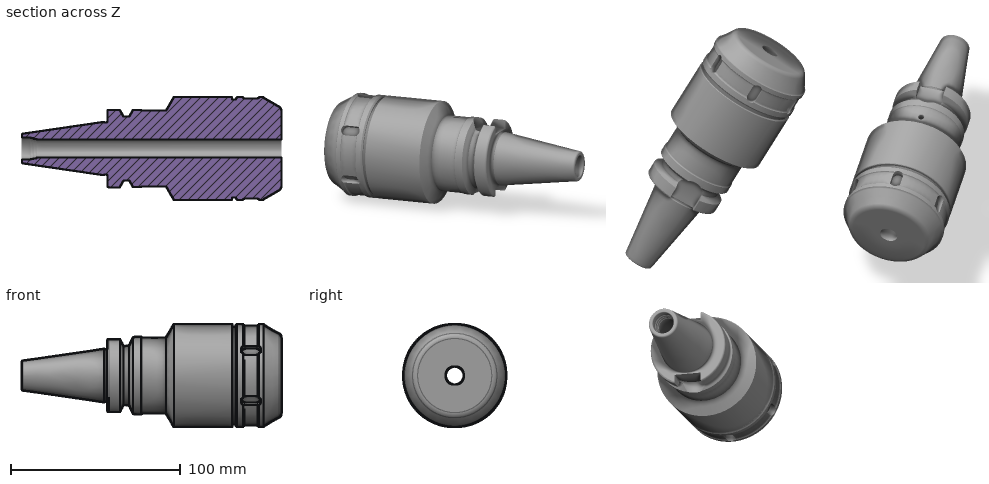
import cadquery as cq
import math


TOTAL_LENGTH = 153.4
SHANK_LENGTH = 48.4
GAUGE_RADIUS = 31.75 / 2
TAPER_SLOPE = 7 / 24 / 2
SHANK_EDGE_FILLET = 1.0
RELIEF_RADIUS = 30.8 / 2
RELIEF_FILLET = 0.8

FLANGE_X = 2.0
FLANGE_RADIUS = 46 / 2
FLANGE_EDGE_FILLET = 1.0
FLANGE_END_X = 21.9
GROOVE_MIDDLE_X = 13.35
GROOVE_FLOOR_WIDTH = 3.3
GROOVE_FLOOR_RADIUS = 19.1
GROOVE_SIDE_SLOPE = math.tan(math.radians(30))
STEP_FILLET = 1.0

KEYWAY_COUNT = 2
KEYWAY_WIDTH = 16.1
KEYWAY_FLOOR = 16.3
KEYWAY_END_X = 18.6

NECK_RADIUS = 45 / 2
BODY_RADIUS = 61 / 2
BODY_X = 41.3
SHOULDER_ANGLE = math.radians(60)
BODY_END_X = 75.9
BODY_CHAMFER = 0.3

GAP_RADIUS = 57.9 / 2
NUT_X = 77.8
NUT_CHAMFER = 0.9
NUT_GROOVE_X = 82.0
NUT_GROOVE_END_X = 91.65
NUT_GROOVE_DEPTH = 0.75
NUT_GROOVE_FILLET = 1.0
NUT_END_X = TOTAL_LENGTH - SHANK_LENGTH
NOSE_ANGLE = 30
NOSE_CONE_X = 94.95
NOSE_CONE_RADIUS = 29.7
NOSE_STEP_FILLET = 1.5
NOSE_FILLET = 3.5

SLOT_COUNT = 6
SLOT_LENGTH = 11.8
SLOT_WIDTH = 6.0
SLOT_FLOOR = 26.5

SCREW_X = 30.0
SCREW_RADIUS = 3.4 / 2
SCREW_MOUTH_RADIUS = 4 / 2

BORE_RADII = [12.9 / 2, 12 / 2, 11.2 / 2, 10.5 / 2]
MOUTH_FILLET = 0.5
MOUTH_DEPTH = 5.0
BORE_STEP_LENGTH = 1.8

CUT_MARGIN = 5.0


def taper_radius(x):
    return GAUGE_RADIUS + TAPER_SLOPE * x


def arc(profile, center, radius, start_angle, end_angle):
    """Line to the start of an arc, then the arc; angles in degrees from +X."""
    def point(angle):
        turn = math.radians(angle)
        return (center[0] + radius * math.cos(turn), center[1] + radius * math.sin(turn))

    middle_angle = (start_angle + end_angle) / 2
    return profile.lineTo(*point(start_angle)).threePointArc(point(middle_angle), point(end_angle))


def step_down(profile, x, high, low, fillet):
    """Drop at x from one radius to a lower one through a hollow fillet."""
    rise_angle = math.degrees(math.asin(1 - (high - low) / fillet))
    center = (x + fillet * math.cos(math.radians(rise_angle)), low + fillet)
    return arc(profile, center, fillet, 180 + rise_angle, 270)


def step_up(profile, x, low, high, fillet):
    """Rise at x from one radius to a higher one through a hollow fillet."""
    rise_angle = math.degrees(math.asin(1 - (high - low) / fillet))
    center = (x - fillet * math.cos(math.radians(rise_angle)), low + fillet)
    return arc(profile, center, fillet, 270, 360 - rise_angle)


def make_outside():
    profile = cq.Workplane("XY").moveTo(-SHANK_LENGTH, 0)

    taper_angle = math.atan(TAPER_SLOPE)
    shank_edge_x = -SHANK_LENGTH + SHANK_EDGE_FILLET
    shank_edge_center = (shank_edge_x, taper_radius(shank_edge_x) - SHANK_EDGE_FILLET / math.cos(taper_angle))
    profile = arc(profile, shank_edge_center, SHANK_EDGE_FILLET, 180, 90 + math.degrees(taper_angle))
    profile = step_down(profile, 0, GAUGE_RADIUS, RELIEF_RADIUS, RELIEF_FILLET)

    relief_corner = (FLANGE_X - RELIEF_FILLET, RELIEF_RADIUS + RELIEF_FILLET)
    profile = arc(profile, relief_corner, RELIEF_FILLET, 270, 360)
    flange_corner = (FLANGE_X + FLANGE_EDGE_FILLET, FLANGE_RADIUS - FLANGE_EDGE_FILLET)
    profile = arc(profile, flange_corner, FLANGE_EDGE_FILLET, 180, 90)
    half_floor = GROOVE_FLOOR_WIDTH / 2
    half_mouth = half_floor + (FLANGE_RADIUS - GROOVE_FLOOR_RADIUS) * GROOVE_SIDE_SLOPE
    profile = profile.lineTo(GROOVE_MIDDLE_X - half_mouth, FLANGE_RADIUS)
    profile = profile.lineTo(GROOVE_MIDDLE_X - half_floor, GROOVE_FLOOR_RADIUS)
    profile = profile.lineTo(GROOVE_MIDDLE_X + half_floor, GROOVE_FLOOR_RADIUS)
    profile = profile.lineTo(GROOVE_MIDDLE_X + half_mouth, FLANGE_RADIUS)
    profile = step_down(profile, FLANGE_END_X, FLANGE_RADIUS, NECK_RADIUS, STEP_FILLET)

    shoulder_length = (BODY_RADIUS - NECK_RADIUS) / math.tan(SHOULDER_ANGLE)
    profile = profile.lineTo(BODY_X - shoulder_length, NECK_RADIUS)
    profile = profile.lineTo(BODY_X, BODY_RADIUS)
    profile = profile.lineTo(BODY_END_X - BODY_CHAMFER, BODY_RADIUS)
    profile = profile.lineTo(BODY_END_X, BODY_RADIUS - BODY_CHAMFER)
    profile = profile.lineTo(BODY_END_X, GAP_RADIUS)

    profile = profile.lineTo(NUT_X, GAP_RADIUS)
    profile = profile.lineTo(NUT_X, BODY_RADIUS - NUT_CHAMFER)
    profile = profile.lineTo(NUT_X + NUT_CHAMFER, BODY_RADIUS)
    nut_groove_radius = BODY_RADIUS - NUT_GROOVE_DEPTH
    profile = step_down(profile, NUT_GROOVE_X, BODY_RADIUS, nut_groove_radius, NUT_GROOVE_FILLET)
    profile = step_up(profile, NUT_GROOVE_END_X, nut_groove_radius, BODY_RADIUS, NUT_GROOVE_FILLET)

    nose_turn = math.radians(NOSE_ANGLE)
    step_center = (
        NOSE_CONE_X + NOSE_STEP_FILLET * math.sin(nose_turn),
        NOSE_CONE_RADIUS + NOSE_STEP_FILLET * math.cos(nose_turn),
    )
    ring_edge_angle = math.degrees(math.asin((step_center[1] - BODY_RADIUS) / NOSE_STEP_FILLET))
    profile = arc(profile, step_center, NOSE_STEP_FILLET, 180 + ring_edge_angle, 270 - NOSE_ANGLE)
    rim_x = NUT_END_X - NOSE_FILLET
    cone_radius_at_rim = NOSE_CONE_RADIUS - (rim_x - NOSE_CONE_X) * math.tan(nose_turn)
    rim_center = (rim_x, cone_radius_at_rim - NOSE_FILLET / math.cos(nose_turn))
    profile = arc(profile, rim_center, NOSE_FILLET, 90 - NOSE_ANGLE, 0)
    profile = profile.lineTo(NUT_END_X, 0).close()
    return profile.revolve(360, (0, 0, 0), (1, 0, 0))


def make_bore():
    start = -SHANK_LENGTH
    profile = cq.Workplane("XY").moveTo(start, 0)
    mouth_center = (start + MOUTH_FILLET, BORE_RADII[0] + MOUTH_FILLET)
    profile = arc(profile, mouth_center, MOUTH_FILLET, 180, 270)

    step_x = start + MOUTH_DEPTH
    for wide, narrow in zip(BORE_RADII, BORE_RADII[1:]):
        profile = profile.lineTo(step_x, wide)
        profile = profile.lineTo(step_x + wide - narrow, narrow)
        step_x += BORE_STEP_LENGTH

    profile = profile.lineTo(NUT_END_X, BORE_RADII[-1])
    profile = profile.lineTo(NUT_END_X, 0).close()
    return profile.revolve(360, (0, 0, 0), (1, 0, 0))


def make_keyway():
    """Keyway on the +Z side, open at the flange face, with a round inner end."""
    end_radius = KEYWAY_WIDTH / 2
    straight_end_x = KEYWAY_END_X - end_radius
    return (
        cq.Workplane("XY", origin=(0, 0, KEYWAY_FLOOR))
        .moveTo(0, -end_radius)
        .lineTo(straight_end_x, -end_radius)
        .threePointArc((KEYWAY_END_X, 0), (straight_end_x, end_radius))
        .lineTo(0, end_radius)
        .close()
        .extrude(FLANGE_RADIUS + CUT_MARGIN - KEYWAY_FLOOR)
    )


def make_wrench_slot():
    """Round-ended slot on the +Z side of the nut."""
    middle_x = (NUT_GROOVE_X + NUT_GROOVE_END_X) / 2
    return (
        cq.Workplane("XY", origin=(middle_x, 0, SLOT_FLOOR))
        .slot2D(SLOT_LENGTH, SLOT_WIDTH)
        .extrude(BODY_RADIUS + CUT_MARGIN - SLOT_FLOOR)
    )


def make_screw_hole():
    """Radial hole from the top of the neck into the bore, with a chamfered mouth."""
    chamfer = SCREW_MOUTH_RADIUS - SCREW_RADIUS
    points = [
        (0, 0),
        (SCREW_RADIUS, 0),
        (SCREW_RADIUS, NECK_RADIUS - chamfer),
        (SCREW_MOUTH_RADIUS, NECK_RADIUS),
        (SCREW_MOUTH_RADIUS, NECK_RADIUS + CUT_MARGIN),
        (0, NECK_RADIUS + CUT_MARGIN),
    ]
    hole = cq.Workplane("XZ").polyline(points).close().revolve(360, (0, 0, 0), (0, 1, 0))
    return hole.translate((SCREW_X, 0, 0))


def turned_about_axis(body, angle):
    return body.rotate((0, 0, 0), (1, 0, 0), angle)


result = make_outside().cut(make_bore()).cut(make_screw_hole())
for index in range(KEYWAY_COUNT):
    result = result.cut(turned_about_axis(make_keyway(), index * 360 / KEYWAY_COUNT))
for index in range(SLOT_COUNT):
    result = result.cut(turned_about_axis(make_wrench_slot(), index * 360 / SLOT_COUNT))